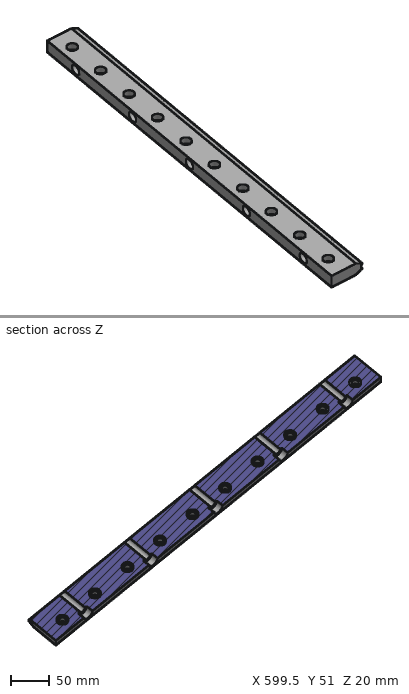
import cadquery as cq

length = 599.5
width = 51.0
height = 20.0

nose_length = 11.0
nose_drop = 5.5
groove_depth = 2.0

bore_diameter = 9.0
counterbore_diameter = 15.0
counterbore_depth = 11.0

top_hole_count = 10
top_hole_pitch = length / top_hole_count
top_hole_setback = 18.0

side_hole_count = 5
side_hole_pitch = length / side_hole_count
side_hole_start = top_hole_pitch


def make_bar():
    """Bar with a tapered nose whose tip is hollowed by a shallow arc."""
    shoulder = width - nose_length
    return (
        cq.Workplane("YZ")
        .moveTo(0, 0)
        .lineTo(shoulder, 0)
        .lineTo(width, nose_drop)
        .threePointArc((width - groove_depth, height / 2), (width, height - nose_drop))
        .lineTo(shoulder, height)
        .lineTo(0, height)
        .close()
        .extrude(length)
    )


def stepped_cutter(start, direction, depth):
    """Through bore with a wider counterbore at its entry."""
    bore = cq.Solid.makeCylinder(bore_diameter / 2, depth, start, direction)
    counterbore = cq.Solid.makeCylinder(counterbore_diameter / 2, counterbore_depth, start, direction)
    return bore.fuse(counterbore)


result = make_bar()

for index in range(top_hole_count):
    x = (index + 0.5) * top_hole_pitch
    entry = cq.Vector(x, top_hole_setback, height)
    result = result.cut(cq.Workplane(stepped_cutter(entry, cq.Vector(0, 0, -1), height)))

for index in range(side_hole_count):
    x = side_hole_start + index * side_hole_pitch
    entry = cq.Vector(x, 0, height / 2)
    result = result.cut(cq.Workplane(stepped_cutter(entry, cq.Vector(0, 1, 0), width)))